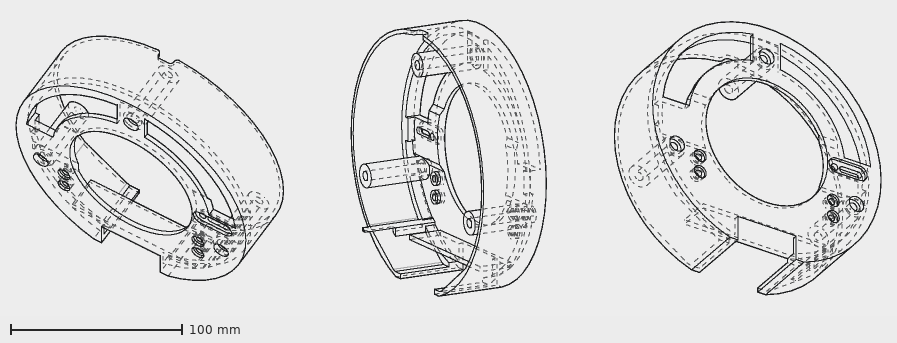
import cadquery as cq
import math

outer_radius = 78.9
depth = 42.1
wall = 2.5
plate_thickness = 3.0
inner_radius = outer_radius - wall
bottom_flat_z = -74.7
floor_z = bottom_flat_z + plate_thickness

rim_depth = 9.6
rim_radius = 72.0
rim_pad_radius = 69.1

bore_radius = 42.0
window_inner_radius = 54.0
window_bottom_z = 7.1
bridge_width = 19.0
notch_width = 40.2
notch_top_z = -58.4

band_thickness = 5.0
band_half_height = 15.0
band_taper_half_height = 19.0

post_diameter = 14.0
post_hole_diameter = 5.5
post_recess_diameter = 10.0
post_recess_depth = 4.0
top_post_z = 59.2
side_post_x = 61.9
side_post_z = -22.1
post_centers = [(0, top_post_z), (-side_post_x, side_post_z), (side_post_x, side_post_z)]

small_hole_diameter = 4.0
small_recess_diameter = 8.0
small_recess_depth = 1.7
small_boss_depth = band_thickness
small_hole_x = 46.0
small_hole_zs = (-25.0, -36.1)

slot_recess_center_x = 56.0
slot_recess_length = 26.2
slot_recess_height = 10.0
slot_recess_depth = 2.0
slot_center_x = 59.0
slot_length = 15.0
slot_height = 4.0
pilot_hole_x = 48.0
pilot_hole_diameter = 4.3

shelf_depth = 23.7
shelf_half_width = bore_radius

cheek_low_angle = 22.0
cheek_high_angle = 48.5

pin_x = 49.7
pin_width = 3.2
pin_bottom_z = -52.0
pin_height = 2.0
pin_end_y = 50.0
pin_block_end_y = 29.7

groove_width = 10.4
groove_start_z = top_post_z + post_diameter / 2
groove_depth = 5.0
groove_bottom_fillet = 2.4
groove_mouth_fillet = 2.2


def front_plane(y=0.0):
    """Sketch plane with local axes X and Z; negative extrusion runs toward +Y."""
    return cq.Workplane(cq.Plane(origin=(0, y, 0), xDir=(1, 0, 0), normal=(0, -1, 0)))


def disc(radius, y_start, y_end, x=0.0, z=0.0):
    return front_plane(y_start).center(x, z).circle(radius).extrude(y_start - y_end)


def block(x_start, x_end, y_start, y_end, z_start, z_end):
    size = (x_end - x_start, y_end - y_start, z_end - z_start)
    return cq.Workplane("XY").box(*size, centered=False).translate((x_start, y_start, z_start))


def half_space_above(z):
    return block(-outer_radius, outer_radius, 0, depth, z, outer_radius)


def outer_body():
    return disc(outer_radius, 0, depth).intersect(half_space_above(bottom_flat_z))


def cheek(side):
    """Fills the sliver between the inner wall and a chord of it on one side."""
    def on_wall(angle, radius):
        a = math.radians(angle)
        return (side * radius * math.sin(a), -radius * math.cos(a))
    middle_angle = (cheek_low_angle + cheek_high_angle) / 2
    sliver_radius = inner_radius + wall / 2
    return (
        front_plane()
        .moveTo(*on_wall(cheek_low_angle, inner_radius))
        .lineTo(*on_wall(cheek_low_angle, sliver_radius))
        .threePointArc(on_wall(middle_angle, sliver_radius), on_wall(cheek_high_angle, sliver_radius))
        .lineTo(*on_wall(cheek_high_angle, inner_radius))
        .close()
        .extrude(-depth)
    )


def shell():
    cavity = disc(inner_radius, rim_depth, depth).union(disc(rim_radius, plate_thickness, rim_depth))
    body = outer_body().cut(cavity.intersect(half_space_above(floor_z)))
    return body.union(cheek(-1)).union(cheek(1))


def plate_band():
    profile = [
        (0, -band_taper_half_height),
        (plate_thickness, -band_taper_half_height),
        (band_thickness, -band_half_height),
        (band_thickness, band_half_height),
        (plate_thickness, band_taper_half_height),
        (0, band_taper_half_height),
    ]
    band = cq.Workplane("YZ").polyline(profile).close().extrude(outer_radius, both=True)
    return band.intersect(disc(inner_radius, 0, depth))


def rim_pads():
    """Thicker rim on the left and right, between the lower window edges and their mirror."""
    ring = disc(inner_radius, 0, rim_depth).cut(disc(rim_pad_radius, 0, rim_depth))
    return ring.intersect(
        block(-outer_radius, outer_radius, 0, rim_depth, -window_bottom_z, window_bottom_z)
    )


def windows():
    ring = disc(rim_radius, 0, rim_depth).cut(disc(window_inner_radius, 0, rim_depth))
    bridge = block(-bridge_width / 2, bridge_width / 2, 0, rim_depth, 0, outer_radius)
    return ring.intersect(half_space_above(window_bottom_z)).cut(bridge)


def shelf():
    top_z = notch_top_z + plate_thickness
    return block(-shelf_half_width, shelf_half_width, 0, shelf_depth, notch_top_z, top_z)


def pin_with_block():
    """Wedge-shaped pin, with its top sloping like the cheek beside it, on a short block."""
    left = pin_x - pin_width / 2
    right = pin_x + pin_width / 2
    corners = [(left, pin_bottom_z), (right, pin_bottom_z), (right, pin_bottom_z + pin_height)]
    pin = front_plane().polyline(corners).close().extrude(-pin_end_y)
    carrier = block(left, right, 0, pin_block_end_y, -inner_radius, pin_bottom_z)
    return pin.union(carrier.intersect(disc(inner_radius, 0, depth)))


def stepped_hole(x, z, hole_diameter, recess_diameter, recess_depth):
    hole = disc(hole_diameter / 2, 0, depth, x, z)
    return hole.union(disc(recess_diameter / 2, 0, recess_depth, x, z))


def adjustment_slot():
    recess = front_plane().center(slot_recess_center_x, 0)
    recess = recess.slot2D(slot_recess_length, slot_recess_height).extrude(-slot_recess_depth)
    slot = front_plane().center(slot_center_x, 0).slot2D(slot_length, slot_height).extrude(-rim_depth)
    return recess.union(slot).union(disc(pilot_hole_diameter / 2, 0, rim_depth, pilot_hole_x, 0))


def cable_groove():
    """Round-cornered groove whose mouth flares out with convex fillets."""
    half = groove_width / 2
    mouth = half + groove_mouth_fillet
    bottom_y = depth - groove_depth
    return (
        cq.Workplane("XY")
        .moveTo(-mouth, depth)
        .radiusArc((-half, depth - groove_mouth_fillet), groove_mouth_fillet)
        .lineTo(-half, bottom_y + groove_bottom_fillet)
        .radiusArc((-half + groove_bottom_fillet, bottom_y), -groove_bottom_fillet)
        .lineTo(half - groove_bottom_fillet, bottom_y)
        .radiusArc((half, bottom_y + groove_bottom_fillet), -groove_bottom_fillet)
        .lineTo(half, depth - groove_mouth_fillet)
        .radiusArc((mouth, depth), groove_mouth_fillet)
        .close()
        .extrude(outer_radius)
        .intersect(half_space_above(groove_start_z))
    )


body = shell().union(plate_band()).union(rim_pads())
body = body.cut(disc(bore_radius, 0, rim_depth)).cut(windows())
body = body.union(shelf())
body = body.cut(block(-notch_width / 2, notch_width / 2, 0, depth, -outer_radius, notch_top_z))
body = body.union(pin_with_block())

for x, z in post_centers:
    body = body.union(disc(post_diameter / 2, 0, depth, x, z))
for x, z in post_centers:
    body = body.cut(stepped_hole(x, z, post_hole_diameter, post_recess_diameter, post_recess_depth))

for x in (-small_hole_x, small_hole_x):
    for z in small_hole_zs:
        body = body.union(disc(small_recess_diameter / 2, 0, small_boss_depth, x, z))
        body = body.cut(stepped_hole(x, z, small_hole_diameter, small_recess_diameter, small_recess_depth))

result = body.cut(adjustment_slot()).cut(cable_groove())